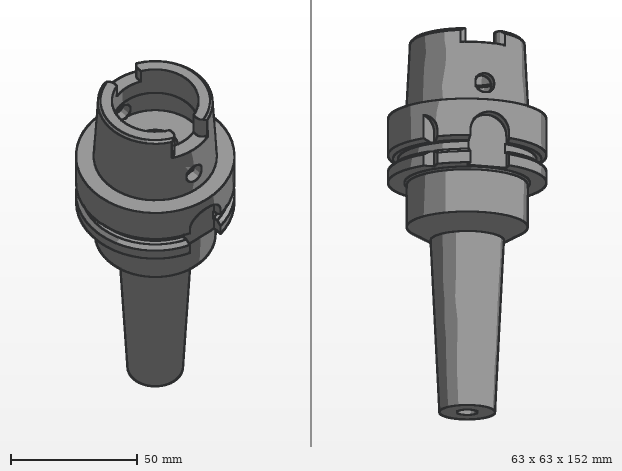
import cadquery as cq

LENGTH = 152.0
NECK_Z = 70.5
COLLAR_BOTTOM_Z = 76.0
COLLAR_TOP_Z = 93.3
FLANGE_BOTTOM_Z = 94.2
GROOVE_BOTTOM_Z = 100.3
GROOVE_TOP_Z = 104.0
FLANGE_TOP_Z = 120.4

NOSE_R = 11.1
NECK_R = 14.6
COLLAR_R = 24.0
COLLAR_LIP_R = 25.0
FLANGE_R = 31.5
GROOVE_R = 27.5
GROOVE_LIP_R = 29.5
GROOVE_CHAMFER_HEIGHT = 1.5
TAPER_BASE_R = 24.5
TAPER_TIP_R = 22.8
TIP_CHAMFER = 1.0

MOUTH_R = 17.2
MOUTH_DEPTH = 13.4
RECESS_R = 19.9
RECESS_FLOOR_Z = 125.9
COUNTERBORE_R = 9.1
COUNTERBORE_FLOOR_Z = 106.4
THROUGH_R = 4.1

CROSS_HOLE_R = 4.0
CROSS_HOLE_Z = 129.2

DRIVE_HALF_WIDTH = 6.2
DRIVE_CORNER_R = 3.0
DRIVE_CORNER_START_X = 17.8
LEFT_DRIVE_DEPTH = 6.0
RIGHT_DRIVE_DEPTH = 9.7

KEYWAY_R = 8.0
KEYWAY_FLOOR_X = 26.5
KEYWAY_CENTER_Z = 107.3
NOTCH_R = 7.6
NOTCH_FLOOR_X = 20.0
NOTCH_WALL_Y = 19.9
NOTCH_CENTER_Z = 108.2


def revolve(profile):
    """Turn a closed (radius, z) outline about the Z axis."""
    return cq.Workplane("XZ").polyline(profile).close().revolve(360, (0, 0), (0, 1))


def turned_body():
    return revolve([
        (0, 0),
        (NOSE_R, 0),
        (NECK_R, NECK_Z),
        (COLLAR_R, COLLAR_BOTTOM_Z),
        (COLLAR_R, COLLAR_TOP_Z),
        (COLLAR_LIP_R, FLANGE_BOTTOM_Z),
        (FLANGE_R, FLANGE_BOTTOM_Z),
        (FLANGE_R, GROOVE_BOTTOM_Z - GROOVE_CHAMFER_HEIGHT),
        (GROOVE_LIP_R, GROOVE_BOTTOM_Z),
        (GROOVE_R, GROOVE_BOTTOM_Z),
        (GROOVE_R, GROOVE_TOP_Z),
        (GROOVE_LIP_R, GROOVE_TOP_Z),
        (FLANGE_R, GROOVE_TOP_Z + GROOVE_CHAMFER_HEIGHT),
        (FLANGE_R, FLANGE_TOP_Z),
        (TAPER_BASE_R, FLANGE_TOP_Z),
        (TAPER_TIP_R, LENGTH - TIP_CHAMFER),
        (TAPER_TIP_R - TIP_CHAMFER, LENGTH),
        (0, LENGTH),
    ])


def axial_bores():
    mouth_z = LENGTH - MOUTH_DEPTH
    return revolve([
        (0, 0),
        (THROUGH_R, 0),
        (THROUGH_R, COUNTERBORE_FLOOR_Z),
        (COUNTERBORE_R, COUNTERBORE_FLOOR_Z),
        (COUNTERBORE_R, RECESS_FLOOR_Z),
        (RECESS_R, RECESS_FLOOR_Z),
        (RECESS_R, mouth_z),
        (MOUTH_R, mouth_z),
        (MOUTH_R, LENGTH),
        (0, LENGTH),
    ])


def cross_hole(side):
    """Hole through the recess wall on one side, starting where the wall is first met."""
    wall_x = (RECESS_R ** 2 - CROSS_HOLE_R ** 2) ** 0.5
    hole = cq.Workplane("YZ", origin=(side * wall_x, 0, CROSS_HOLE_Z)).circle(CROSS_HOLE_R)
    return hole.extrude(side * FLANGE_R)


def drive_slot(side, depth):
    """Slot through the rim on one side (-1 or +1), flaring outward over rounded corners."""
    flare_x = DRIVE_CORNER_START_X + DRIVE_CORNER_R
    flare_y = DRIVE_HALF_WIDTH + DRIVE_CORNER_R
    arc_ratio = 0.5 ** 0.5
    arc_x = DRIVE_CORNER_START_X + DRIVE_CORNER_R * arc_ratio
    arc_y = flare_y - DRIVE_CORNER_R * arc_ratio
    return (
        cq.Workplane("XY", origin=(0, 0, LENGTH - depth))
        .moveTo(0, -DRIVE_HALF_WIDTH)
        .lineTo(side * DRIVE_CORNER_START_X, -DRIVE_HALF_WIDTH)
        .threePointArc((side * arc_x, -arc_y), (side * flare_x, -flare_y))
        .lineTo(side * FLANGE_R, -flare_y)
        .lineTo(side * FLANGE_R, flare_y)
        .lineTo(side * flare_x, flare_y)
        .threePointArc((side * arc_x, arc_y), (side * DRIVE_CORNER_START_X, DRIVE_HALF_WIDTH))
        .lineTo(0, DRIVE_HALF_WIDTH)
        .close()
        .extrude(depth)
    )


def round_topped_slot(side, floor_x, center_y, center_z, radius):
    """Flange slot cut along X on one side, open at the underside of the flange."""
    return (
        cq.Workplane("YZ", origin=(side * floor_x, center_y, 0))
        .moveTo(-radius, FLANGE_BOTTOM_Z)
        .lineTo(radius, FLANGE_BOTTOM_Z)
        .lineTo(radius, center_z)
        .threePointArc((0, center_z + radius), (-radius, center_z))
        .close()
        .extrude(side * FLANGE_R)
    )


result = turned_body().cut(axial_bores())

for side, depth in ((-1, LEFT_DRIVE_DEPTH), (1, RIGHT_DRIVE_DEPTH)):
    result = result.cut(cross_hole(side))
    result = result.cut(drive_slot(side, depth))
    result = result.cut(round_topped_slot(side, KEYWAY_FLOOR_X, 0, KEYWAY_CENTER_Z, KEYWAY_R))

result = result.cut(round_topped_slot(-1, NOTCH_FLOOR_X, NOTCH_WALL_Y + NOTCH_R, NOTCH_CENTER_Z, NOTCH_R))